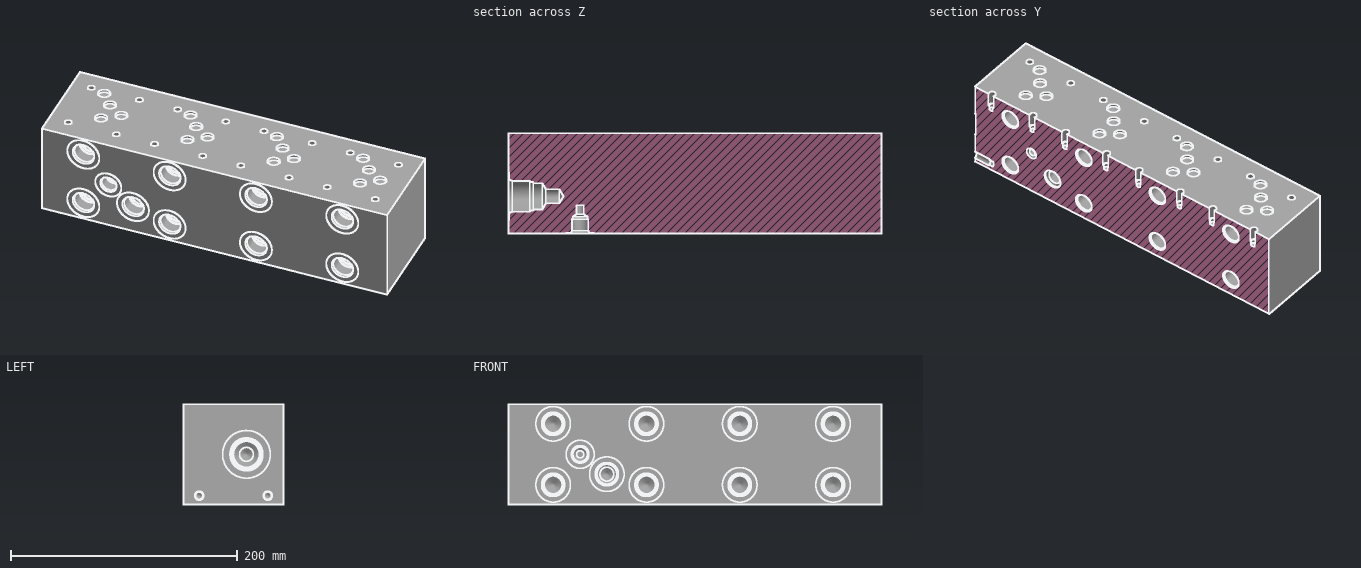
import cadquery as cq
import math

LENGTH = 330.2
DEPTH = 88.9
HEIGHT = 88.9

STATION_COUNT = 4
STATION_PITCH = LENGTH / STATION_COUNT

DRILL_POINT_ANGLE = math.radians(118)
SPOTFACE_DEPTH = 0.5

BOLT_SPAN_X = 46.0
BOLT_SPAN_Y = 54.0
FIRST_BOLT_X = 18.1
BOLT_MAJOR_DIAMETER = 6.35
BOLT_MINOR_DIAMETER = 5.11
BOLT_THREAD_DEPTH = 14.0
BOLT_DRILL_DEPTH = 18.0
VALVE_PORT_DIAMETER = 11.12
VALVE_PORT_DEPTH = 3.0
TANK_OFFSET_X = 13.6
WORK_OFFSET_X = 24.6
PRESSURE_OFFSET_X = 39.7
TANK_OFFSET_Y = 23.8
WORK_OFFSET_Y = 10.3

FIRST_WORK_PORT_X = 39.6
WORK_PORT_SPACING_Z = BOLT_SPAN_Y
WORK_SPOTFACE_DIAMETER = 30.63
WORK_MOUTH_DIAMETER = 20.6
WORK_SEAT_DIAMETER = 19.25
WORK_MAJOR_DIAMETER = 19.05
WORK_MINOR_DIAMETER = 17.5
WORK_BORE_DIAMETER = 15.88
WORK_SEAT_DEPTH = 2.8
WORK_MAJOR_DEPTH = 14.3
WORK_THREAD_DEPTH = 17.0
WORK_DRILL_DEPTH = 28.0

TANK_PORT_X = 87.1
TANK_PORT_Z = 26.9
TANK_DRILL_DIAMETER = 12.29
TANK_DRILL_DEPTH = 40.0

GAUGE_PORT_X = 63.5
GAUGE_SPOTFACE_DIAMETER = 24.92
GAUGE_MOUTH_DIAMETER = 15.6
GAUGE_SEAT_DIAMETER = 14.5
GAUGE_MAJOR_DIAMETER = 14.29
GAUGE_MINOR_DIAMETER = 12.9
GAUGE_SEAT_DEPTH = 2.5
GAUGE_MAJOR_DEPTH = 12.7
GAUGE_THREAD_DEPTH = 15.0
GAUGE_DRILL_DIAMETER = 6.35
GAUGE_DRILL_DEPTH = 25.0

PRESSURE_PORT_Y = 33.0
PRESSURE_SPOTFACE_DIAMETER = 42.2
PRESSURE_MOUTH_DIAMETER = 29.2
PRESSURE_SEAT_DIAMETER = 27.43
PRESSURE_MAJOR_DIAMETER = 26.99
PRESSURE_MINOR_DIAMETER = 24.92
PRESSURE_BORE_DIAMETER = 23.01
PRESSURE_SEAT_DEPTH = 3.3
PRESSURE_MAJOR_DEPTH = 19.05
PRESSURE_THREAD_DEPTH = 22.0
PRESSURE_BORE_DEPTH = 30.0
PRESSURE_DRILL_DIAMETER = 12.29
PRESSURE_DRILL_DEPTH = 45.0

END_BOLT_EDGE_Y = 14.1
END_BOLT_Z = 7.9
END_BOLT_MAJOR_DIAMETER = 7.92
END_BOLT_MINOR_DIAMETER = 6.53
END_BOLT_THREAD_DEPTH = 16.0
END_BOLT_DRILL_DEPTH = 20.0

TOP = "top"
FRONT = "front"
END = "left end"


def cone_height(wide_diameter, narrow_diameter=0.0):
    """Height of a drill-point cone between two diameters."""
    return (wide_diameter - narrow_diameter) / 2 / math.tan(DRILL_POINT_ANGLE / 2)


def revolved_cutter(stations, position, face):
    """Round cutter from (diameter, depth) stations, going into a face at position."""
    profile = [(0, 0)] + [(diameter / 2, depth) for diameter, depth in stations]
    last_diameter, last_depth = stations[-1]
    if last_diameter > 0:
        profile.append((0, last_depth))
    cutter = cq.Workplane("XY").polyline(profile).close().revolve(360, (0, 0), (0, 1))
    if face == TOP:
        cutter = cutter.rotate((0, 0, 0), (1, 0, 0), -90)
    elif face == END:
        cutter = cutter.rotate((0, 0, 0), (0, 0, 1), -90)
    return cutter.translate(position)


def drilled(diameter, start_depth, end_depth):
    """Stations of a drilled bore that ends in a drill point."""
    return [(diameter, start_depth), (diameter, end_depth), (0, end_depth + cone_height(diameter))]


def tapped_hole(major, minor, thread_depth, drill_depth):
    """Stations of a tapped blind hole: thread, then the tap drill behind it."""
    return [(major, 0), (major, thread_depth)] + drilled(minor, thread_depth, drill_depth)


def port_mouth(spotface, mouth, seat, major, seat_depth, major_depth):
    """Stations of a spotfaced port: tapered seal seat, then full thread."""
    return [
        (spotface, 0),
        (spotface, SPOTFACE_DEPTH),
        (mouth, SPOTFACE_DEPTH),
        (seat, seat_depth),
        (major, seat_depth),
        (major, major_depth),
    ]


def stepped_bore(bore, start_depth, bore_depth, drill, drill_depth):
    """Stations of a bore whose drill point runs into a narrower, deeper drill."""
    step_depth = bore_depth + cone_height(bore, drill)
    return [(bore, start_depth), (bore, bore_depth)] + drilled(drill, step_depth, drill_depth)


def mounting_pattern_cutters(bolt_x):
    """Four tapped holes and four ports of one valve station."""
    centre_y = DEPTH / 2
    bolt = tapped_hole(BOLT_MAJOR_DIAMETER, BOLT_MINOR_DIAMETER, BOLT_THREAD_DEPTH, BOLT_DRILL_DEPTH)
    port = drilled(VALVE_PORT_DIAMETER, 0, VALVE_PORT_DEPTH)
    port_offsets = [
        (TANK_OFFSET_X, TANK_OFFSET_Y),
        (WORK_OFFSET_X, WORK_OFFSET_Y),
        (WORK_OFFSET_X, -WORK_OFFSET_Y),
        (PRESSURE_OFFSET_X, 0),
    ]
    cutters = []
    for offset_x in (0, BOLT_SPAN_X):
        for offset_y in (-BOLT_SPAN_Y / 2, BOLT_SPAN_Y / 2):
            cutters.append(revolved_cutter(bolt, (bolt_x + offset_x, centre_y + offset_y, HEIGHT), TOP))
    for offset_x, offset_y in port_offsets:
        cutters.append(revolved_cutter(port, (bolt_x + offset_x, centre_y + offset_y, HEIGHT), TOP))
    return cutters


def large_front_mouth():
    """Mouth shared by the work ports and the tank port."""
    return port_mouth(
        WORK_SPOTFACE_DIAMETER,
        WORK_MOUTH_DIAMETER,
        WORK_SEAT_DIAMETER,
        WORK_MAJOR_DIAMETER,
        WORK_SEAT_DEPTH,
        WORK_MAJOR_DEPTH,
    )


def work_port_cutters(port_x):
    """Upper and lower work port of one valve station."""
    port = large_front_mouth()
    port += [(WORK_MINOR_DIAMETER, WORK_MAJOR_DEPTH), (WORK_MINOR_DIAMETER, WORK_THREAD_DEPTH)]
    port += drilled(WORK_BORE_DIAMETER, WORK_THREAD_DEPTH, WORK_DRILL_DEPTH)
    rows = (HEIGHT / 2 - WORK_PORT_SPACING_Z / 2, HEIGHT / 2 + WORK_PORT_SPACING_Z / 2)
    return [revolved_cutter(port, (port_x, 0, row_z), FRONT) for row_z in rows]


def tank_port_cutter():
    """Tank port with a narrower drill behind the thread."""
    port = large_front_mouth()
    port += stepped_bore(
        WORK_MINOR_DIAMETER, WORK_MAJOR_DEPTH, WORK_THREAD_DEPTH, TANK_DRILL_DIAMETER, TANK_DRILL_DEPTH
    )
    return revolved_cutter(port, (TANK_PORT_X, 0, TANK_PORT_Z), FRONT)


def gauge_port_cutter():
    """Gauge port, whose small bore ends flat."""
    mouth = port_mouth(
        GAUGE_SPOTFACE_DIAMETER,
        GAUGE_MOUTH_DIAMETER,
        GAUGE_SEAT_DIAMETER,
        GAUGE_MAJOR_DIAMETER,
        GAUGE_SEAT_DEPTH,
        GAUGE_MAJOR_DEPTH,
    )
    step_depth = GAUGE_THREAD_DEPTH + cone_height(GAUGE_MINOR_DIAMETER, GAUGE_DRILL_DIAMETER)
    port = mouth + [
        (GAUGE_MINOR_DIAMETER, GAUGE_MAJOR_DEPTH),
        (GAUGE_MINOR_DIAMETER, GAUGE_THREAD_DEPTH),
        (GAUGE_DRILL_DIAMETER, step_depth),
        (GAUGE_DRILL_DIAMETER, GAUGE_DRILL_DEPTH),
    ]
    return revolved_cutter(port, (GAUGE_PORT_X, 0, HEIGHT / 2), FRONT)


def pressure_port_cutter():
    """Pressure port with a narrower drill behind it."""
    mouth = port_mouth(
        PRESSURE_SPOTFACE_DIAMETER,
        PRESSURE_MOUTH_DIAMETER,
        PRESSURE_SEAT_DIAMETER,
        PRESSURE_MAJOR_DIAMETER,
        PRESSURE_SEAT_DEPTH,
        PRESSURE_MAJOR_DEPTH,
    )
    port = mouth + [
        (PRESSURE_MINOR_DIAMETER, PRESSURE_MAJOR_DEPTH),
        (PRESSURE_MINOR_DIAMETER, PRESSURE_THREAD_DEPTH),
    ]
    port += stepped_bore(
        PRESSURE_BORE_DIAMETER,
        PRESSURE_THREAD_DEPTH,
        PRESSURE_BORE_DEPTH,
        PRESSURE_DRILL_DIAMETER,
        PRESSURE_DRILL_DEPTH,
    )
    return revolved_cutter(port, (0, PRESSURE_PORT_Y, HEIGHT / 2), END)


def end_bolt_cutters():
    """Two tapped mounting holes low on the left end."""
    bolt = tapped_hole(
        END_BOLT_MAJOR_DIAMETER, END_BOLT_MINOR_DIAMETER, END_BOLT_THREAD_DEPTH, END_BOLT_DRILL_DEPTH
    )
    rows = (END_BOLT_EDGE_Y, DEPTH - END_BOLT_EDGE_Y)
    return [revolved_cutter(bolt, (0, row_y, END_BOLT_Z), END) for row_y in rows]


cutters = [tank_port_cutter(), gauge_port_cutter(), pressure_port_cutter()] + end_bolt_cutters()
for station in range(STATION_COUNT):
    station_shift = station * STATION_PITCH
    cutters += mounting_pattern_cutters(FIRST_BOLT_X + station_shift)
    cutters += work_port_cutters(FIRST_WORK_PORT_X + station_shift)

all_cutters = cq.Compound.makeCompound([cutter.val() for cutter in cutters])
block = cq.Workplane("XY").box(LENGTH, DEPTH, HEIGHT, centered=False)
result = block.cut(cq.Workplane(all_cutters)).solids()